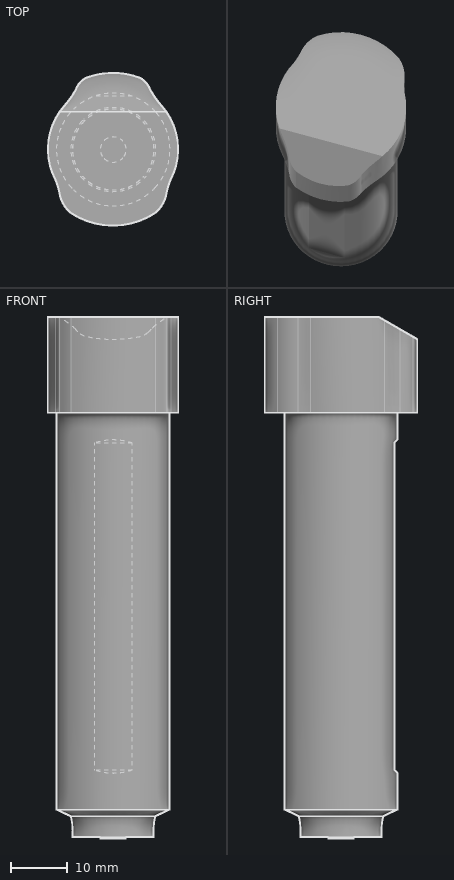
import cadquery as cq
import math

total_height = 92.0
head_height = 16.9
head_bottom = total_height - head_height

body_radius = 11.5
lobe_radius = 27.0 / 2
slope_start_y = 6.6
slope_angle = 30.0

shaft_radius = 20.0 / 2
shaft_bottom = 5.15
tip_top = 4.0
tip_top_radius = 7.45
tip_waist_radius = 7.2
tip_bottom_radius = 7.2
nub_radius = 4.5 / 2
nub_height = 0.3

flat_depth = 0.55
flat_bottom = 11.6
flat_top = head_bottom - 4.7


def at_y(radius, y):
    """Point with positive X on a circle about the axis, at the given Y."""
    return (math.sqrt(radius**2 - y**2), y)


def mirrored(point):
    return (-point[0], point[1])


def tangent_arc_middle(start, end):
    """Middle of the arc to end that leaves a circle about the axis smoothly at start."""
    chord_x = end[0] - start[0]
    chord_y = end[1] - start[1]
    tangent_angle = math.atan2(start[0], -start[1])
    turn = tangent_angle - math.atan2(chord_y, chord_x)
    half_bow = math.tan(turn / 2) / 2
    middle_x = (start[0] + end[0]) / 2 - chord_y * half_bow
    middle_y = (start[1] + end[1]) / 2 + chord_x * half_bow
    return (middle_x, middle_y)


def make_head():
    rear_lobe_end = at_y(lobe_radius, 12.6)
    rear_corner_mid = (5.9, 11.7)
    rear_corner_end = (6.6, 10.4)
    body_rear = at_y(body_radius, 7.6)
    rear_hollow_mid = tangent_arc_middle(body_rear, rear_corner_end)
    body_front = at_y(body_radius, -5.4)
    front_hollow_mid = (9.75, -6.5)
    front_corner_start = (9.5, -7.6)
    front_corner_mid = (8.8, -9.6)
    front_lobe_end = at_y(lobe_radius, -11.2)

    right_arcs = [
        (rear_lobe_end, rear_corner_mid, rear_corner_end),
        (rear_corner_end, rear_hollow_mid, body_rear),
        (body_rear, (body_radius, 0), body_front),
        (body_front, front_hollow_mid, front_corner_start),
        (front_corner_start, front_corner_mid, front_lobe_end),
    ]
    outline = cq.Workplane("XY", origin=(0, 0, head_bottom)).moveTo(*rear_lobe_end)
    for start, middle, end in right_arcs:
        outline = outline.threePointArc(middle, end)
    outline = outline.threePointArc((0, -lobe_radius), mirrored(front_lobe_end))
    for start, middle, end in reversed(right_arcs):
        outline = outline.threePointArc(mirrored(middle), mirrored(start))
    outline = outline.threePointArc((0, lobe_radius), rear_lobe_end)
    head = outline.close().extrude(head_height)

    slope_run = lobe_radius - slope_start_y
    slope_drop = slope_run * math.tan(math.radians(slope_angle))
    wedge = (
        cq.Workplane("YZ")
        .moveTo(slope_start_y, total_height)
        .lineTo(lobe_radius, total_height - slope_drop)
        .lineTo(lobe_radius, total_height)
        .close()
        .extrude(body_radius, both=True)
    )
    return head.cut(wedge)


def make_shaft():
    tip_middle = (tip_top + nub_height) / 2
    return (
        cq.Workplane("XZ")
        .lineTo(nub_radius, 0)
        .lineTo(nub_radius, nub_height)
        .lineTo(tip_bottom_radius, nub_height)
        .threePointArc((tip_waist_radius, tip_middle), (tip_top_radius, tip_top))
        .lineTo(shaft_radius, shaft_bottom)
        .lineTo(shaft_radius, head_bottom)
        .lineTo(0, head_bottom)
        .close()
        .revolve(360, (0, 0, 0), (0, 1, 0))
    )


def make_flat_cutter():
    floor_y = shaft_radius - flat_depth
    return (
        cq.Workplane("YZ")
        .moveTo(shaft_radius, flat_bottom)
        .lineTo(floor_y, flat_bottom + flat_depth)
        .lineTo(floor_y, flat_top - flat_depth)
        .lineTo(shaft_radius, flat_top)
        .close()
        .extrude(shaft_radius, both=True)
    )


shaft = make_shaft().cut(make_flat_cutter())
result = make_head().union(shaft)